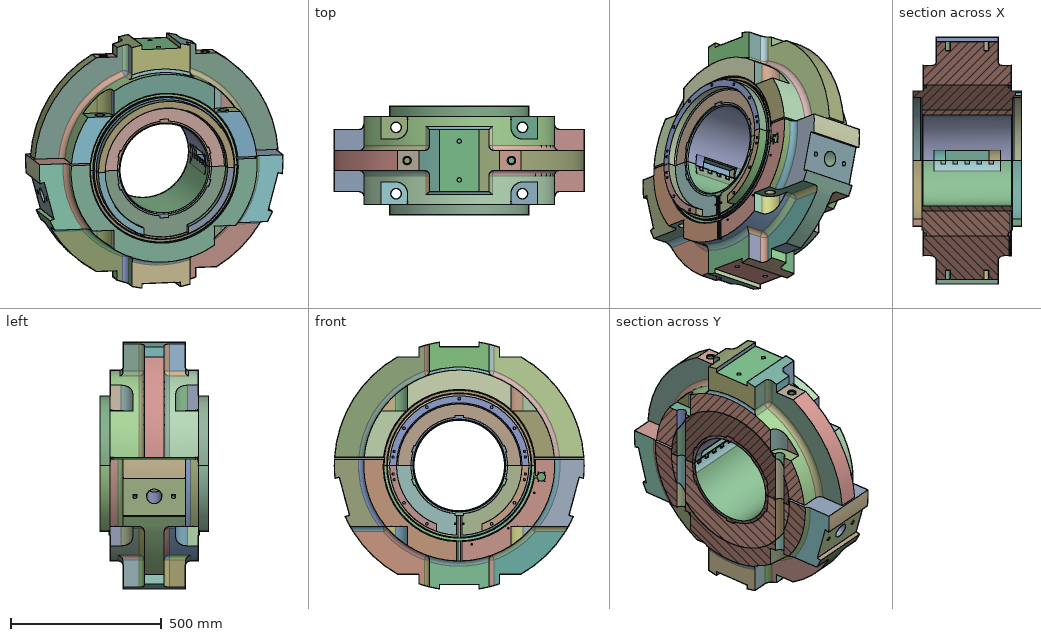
import cadquery as cq
import math

outer_radius = 414.5
hub_radius = 316.5
hub_half_width = 146.5
web_half_width = 33.0
lug_half_width = 103.0
root_fillet = 17.5
upper_lug_fillet = 10.0
upper_joint_z = 27.0
lower_joint_z = 21.0

lug_half_length = 98.5
shoulder_half_length = 134.0
shoulder_height = 360.5
side_lug_bottom = -202.0
side_lug_tilt = 15.0
slot_width = 130.0
slot_floor = 394.5
slot_screw_diameter = 14.0
slot_screw_depth = 30.0
slot_screw_offset = 64.0
inlet_diameter = 50.0
lifting_hole_x = 173.0
lifting_hole_diameter = 21.0
lifting_hole_depth = 50.0
lifting_counterbore_diameter = 28.0
lifting_counterbore_depth = 4.0

bolt_x = 209.5
bolt_y = 110.0
bolt_diameter = 34.0
pocket_inner_x = 171.0
pocket_inner_y = 71.0
pocket_corner_radius = 40.0
upper_pocket_floor = 181.5

bore_radius = 250.0
edge_chamfer = 2.5
shell_half_width = 150.5
flange_radius = 240.5
flange_thickness = 10.0
lining_radius = 160.0
shaft_radius = 150.0
lining_chamfer = 4.0
anchor_width = 28.8
anchor_reach = 166.0
side_anchor_width = 22.0
side_anchor_reach = 164.0
side_anchor_tilt = 20.0
rim_half_width = 180.0
rim_outer_radius = 231.0
rim_inner_radius = 208.0
rim_opening_half_length = 76.0
upper_cone_height = 4.0

rim_hole_circle = 221.0
rim_screw_diameter = 8.5
rim_screw_depth = 20.0
rim_dowel_diameter = 6.8
upper_screw_angles = (34.0, 61.0, 90.0, 119.0, 146.0)
lower_screw_angles = (214.0, 241.0, 299.0, 326.0)
rim_dowel_tilts = (7.3, 12.3)

oil_pocket_depth = 6.0
oil_pocket_half_height = 34.0
oil_pocket_half_width = 110.0
oil_slot_depth = 25.0
oil_slot_half_width = 72.0
oil_notch_width = 15.0
oil_notch_height = 12.0
oil_notch_depth = 3.0
oil_notch_pitch = 40.0

wire_groove_width = 17.5
wire_groove_depth = 4.0
wire_slit_width = 7.5
wire_slit_depth = 8.0
clamp_hole_diameter = 4.8
clamp_hole_x = 14.0
clamp_hole_z = -193.5
clamp_hole_depth = 12.0
sensor_x = 272.0
sensor_z = -37.5
sensor_diameter = 28.0
sensor_depth = 20.0
sensor_screw_diameter = 3.0
sensor_screw_x = 10.0
sensor_screw_z = 14.7
sensor_slot_height = 7.5
sensor_slot_depth = 10.0
bore_relief = 2.5
face_hole_circle = 264.5
face_hole_diameter = 4.8
face_hole_angles = (-20.0, -52.0, -81.0)

reach = 2.0 * outer_radius


def disc(radius, y_start, y_end):
    """Cylinder about the bearing axis."""
    return cq.Workplane("XZ", origin=(0, y_start, 0)).circle(radius).extrude(y_start - y_end)


def block(x_range, y_range, z_range):
    """Box given by its limits along the three axes."""
    size = [high - low for low, high in (x_range, y_range, z_range)]
    corner = (x_range[0], y_range[0], z_range[0])
    return cq.Workplane("XY").box(*size, centered=False).translate(corner)


def turned(shape, angle):
    """Shape turned from +X towards +Z about the bearing axis."""
    return shape.rotate((0, 0, 0), (0, 1, 0), -angle)


def bore_along_y(diameter, x, z, face_y, depth):
    """Blind hole drilled from a front face towards +Y."""
    return cq.Workplane("XZ", origin=(x, face_y, z)).circle(diameter / 2).extrude(-depth)


def bore_along_z(diameter, x, y, top_z, depth):
    """Blind hole drilled downwards."""
    return cq.Workplane("XY", origin=(x, y, top_z)).circle(diameter / 2).extrude(-depth)


def polar(radius, angle):
    """X and Z of a point on a circle about the bearing axis."""
    return radius * math.cos(math.radians(angle)), radius * math.sin(math.radians(angle))


def above(z):
    return block((-reach, reach), (-reach, reach), (z, reach))


def below(z):
    return block((-reach, reach), (-reach, reach), (-reach, z))


def hub_and_web():
    """Hub with the round web, which has a flat on each side of the upright lugs."""
    web = disc(outer_radius, -web_half_width, web_half_width)
    for side in (-1, 1):
        for end in (-1, 1):
            x_range = sorted((side * shoulder_half_length, side * reach))
            z_range = sorted((end * shoulder_height, end * reach))
            web = web.cut(block(x_range, (-reach, reach), z_range))
    return disc(hub_radius, -hub_half_width, hub_half_width).union(web)


def lug(x_range, z_range):
    """Thick block bounded by the outer radius."""
    width = (-lug_half_width, lug_half_width)
    outline = disc(outer_radius, -lug_half_width, lug_half_width)
    return block(x_range, width, z_range).intersect(outline)


def edge_ends(edge):
    """Distance from the bearing axis and from the middle plane at both ends of an edge."""
    ends = (edge.startPoint(), edge.endPoint())
    return [math.hypot(p.x, p.z) for p in ends], [abs(p.y) for p in ends]


def fillet_roots(body, include_upright_face=True):
    """Round the inner corners between hub, web and lugs, if wanted also at the faces of the upright lug."""
    tolerance = 0.1
    roots = []
    for edge in body.edges().vals():
        radii, widths = edge_ends(edge)
        on_hub = all(abs(r - hub_radius) < tolerance for r in radii)
        on_web = all(abs(w - web_half_width) < tolerance for w in widths)
        on_lug_face = all(abs(w - lug_half_width) < tolerance for w in widths)
        at_upright_face = on_lug_face and abs(edge.Center().x) < lug_half_length
        if on_hub and max(widths) < lug_half_width + tolerance:
            if include_upright_face or not at_upright_face:
                roots.append(edge)
        elif on_web and min(radii) < hub_radius + tolerance:
            roots.append(edge)
    return body.newObject(roots).fillet(root_fillet)


def slotted(body, directions):
    """Cut the wide slots across the ends of the lugs, with two screw holes in each floor."""
    for angle in directions:
        slot = block((slot_floor, reach), (-reach, reach), (-slot_width / 2, slot_width / 2))
        body = body.cut(turned(slot, angle))
        for y in (-slot_screw_offset, slot_screw_offset):
            hole = cq.Workplane("YZ", origin=(slot_floor, y, 0)).circle(slot_screw_diameter / 2)
            body = body.cut(turned(hole.extrude(-slot_screw_depth), angle))
    return body


def bolt_pockets(z_range):
    """Four pockets in the hub for the joint bolts, each with one round inner corner."""
    y_range = (pocket_inner_y, reach)
    corner = block((pocket_inner_x, reach), y_range, z_range)
    corner = corner.edges("|Z and <X and <Y").fillet(pocket_corner_radius)
    pair = corner.union(corner.mirror("YZ"))
    return pair.union(pair.mirror("XZ"))


def bolt_holes():
    """Four clearance holes that run through both halves."""
    centres = [(x, y) for x in (-bolt_x, bolt_x) for y in (-bolt_y, bolt_y)]
    start = cq.Workplane("XY", origin=(0, 0, -outer_radius)).pushPoints(centres)
    return start.circle(bolt_diameter / 2).extrude(2 * outer_radius)


def housing_bore():
    """Bore with a chamfer at both ends."""
    bore = disc(bore_radius, -hub_half_width, hub_half_width)
    for side in (-1, 1):
        mouth = cq.Workplane("XZ", origin=(0, side * hub_half_width, 0)).circle(bore_radius + edge_chamfer)
        mouth = mouth.extrude(side * edge_chamfer, taper=45)
        bore = bore.union(mouth)
    return bore


def upper_lug_face_fillets(body):
    """Small fillets where the faces of the upright lug meet the hub, mitred with its side fillets."""
    size = upper_lug_fillet
    strips = None
    for side in (-1, 1):
        slab_y = sorted((side * (lug_half_width - size), side * lug_half_width))
        slab = block((-outer_radius, outer_radius), slab_y, (-outer_radius, -hub_radius / 2))
        flared_end = body.intersect(slab).translate((0, side * size, 0))
        ring = (
            cq.Workplane("XY")
            .moveTo(hub_radius - size, side * lug_half_width)
            .lineTo(hub_radius + size, side * lug_half_width)
            .radiusArc((hub_radius, side * (lug_half_width + size)), side * size)
            .lineTo(hub_radius - size, side * (lug_half_width + size))
            .close()
            .revolve(360, (0, 0, 0), (0, 1, 0))
        )
        strip = ring.intersect(flared_end)
        strips = strip if strips is None else strips.union(strip)
    return strips


def make_upper_housing():
    body = hub_and_web()
    body = body.union(lug((-lug_half_length, lug_half_length), (-reach, 0)))
    body = body.union(lug((-reach, reach), (-upper_joint_z / 4, upper_joint_z)))
    body = fillet_roots(body, include_upright_face=False)
    body = body.union(upper_lug_face_fillets(body))
    body = turned(body, 180).intersect(above(upper_joint_z))
    body = body.cut(bolt_pockets((upper_pocket_floor, reach)))
    body = slotted(body, [90])
    for x in (-lifting_hole_x, lifting_hole_x):
        body = body.cut(bore_along_z(lifting_hole_diameter, x, 0, shoulder_height, lifting_hole_depth))
        body = body.cut(
            bore_along_z(lifting_counterbore_diameter, x, 0, shoulder_height, lifting_counterbore_depth)
        )
    return body.cut(housing_bore()).cut(bolt_holes())


def make_lower_housing():
    body = hub_and_web()
    body = body.union(lug((-lug_half_length, lug_half_length), (-reach, 0)))
    body = body.union(lug((-reach, reach), (side_lug_bottom, 2 * upper_joint_z)))
    body = fillet_roots(body).intersect(below(lower_joint_z))
    body = body.cut(bolt_pockets((-reach, side_lug_bottom)))
    side_directions = (-side_lug_tilt, 180 + side_lug_tilt)
    body = slotted(body, (-90, *side_directions))
    for angle in side_directions:
        inlet = cq.Workplane("YZ").circle(inlet_diameter / 2).extrude(outer_radius)
        body = body.cut(turned(inlet, angle))
    body = body.cut(housing_bore())
    body = body.cut(block((-bore_radius, bore_radius), (-reach, reach), (0, reach)))
    body = body.cut(bolt_holes()).cut(wire_groove(hub_half_width))
    return body.cut(sensor_seat()).cut(face_holes())


def wire_groove(face_half_width):
    """Stepped groove straight down a front face from the lining to the rim of the hub."""
    groove = None
    for width, depth in ((wire_groove_width, wire_groove_depth), (wire_slit_width, wire_slit_depth)):
        y_range = (-reach, -face_half_width + depth)
        cut = block((-width / 2, width / 2), y_range, (-reach, -anchor_reach))
        groove = cut if groove is None else groove.union(cut)
    return groove


def sensor_seat():
    """Round seat with four screw holes, joined to the bore by a slot and a shallow relief along the bore."""
    face = -hub_half_width
    seat = bore_along_y(sensor_diameter, sensor_x, sensor_z, face, sensor_depth)
    slot_z = (sensor_z - sensor_slot_height / 2, sensor_z + sensor_slot_height / 2)
    slot_y = (face, face + sensor_slot_depth)
    seat = seat.union(block((0, sensor_x), slot_y, slot_z))
    seat = seat.union(block((0, bore_radius + bore_relief), slot_y, (slot_z[1], lower_joint_z)))
    for x in (sensor_x - sensor_screw_x, sensor_x + sensor_screw_x):
        for z in (sensor_z - sensor_screw_z, sensor_z + sensor_screw_z):
            seat = seat.union(bore_along_y(sensor_screw_diameter, x, z, face, sensor_slot_depth))
    return seat


def face_holes():
    """Clip holes around the front face of the lower housing."""
    holes = None
    for angle in face_hole_angles:
        x, z = polar(face_hole_circle, angle)
        hole = bore_along_y(face_hole_diameter, x, z, -hub_half_width, clamp_hole_depth)
        holes = hole if holes is None else holes.union(hole)
    return holes


def shell_ring():
    """Full ring with a thick middle, a thinner flange at each end and a raised rim on each flange."""
    middle = hub_half_width - flange_thickness
    ring = disc(bore_radius, -middle, middle)
    flange = disc(flange_radius, -hub_half_width, hub_half_width)
    ring = ring.union(flange.faces("<Y or >Y").edges().chamfer(edge_chamfer))
    ring = ring.union(disc(rim_outer_radius, -shell_half_width, shell_half_width))
    for side in (-1, 1):
        rim = disc(rim_outer_radius, side * shell_half_width, side * rim_half_width)
        ring = ring.union(rim.cut(disc(rim_inner_radius, side * shell_half_width, side * rim_half_width)))
    return ring.cut(anchored_lining_space()).cut(bolt_holes())


def anchored_lining_space():
    """Room for the lining: a cylinder with flat-topped ribs along it that hold the lining in the shell."""
    space = disc(lining_radius, -shell_half_width, shell_half_width)
    upright_ribs = [(angle, anchor_width, anchor_reach) for angle in (90, -90)]
    side_angles = [base + sign * side_anchor_tilt for base in (0, 180) for sign in (-1, 1)]
    side_ribs = [(angle, side_anchor_width, side_anchor_reach) for angle in side_angles]
    for angle, width, top in upright_ribs + side_ribs:
        rib = block((0, top), (-shell_half_width, shell_half_width), (-width / 2, width / 2))
        space = space.union(turned(rib, angle))
    return space


def rim_holes(screw_angles, dowel_angles):
    """Screw and dowel holes in the front rim."""
    holes = None
    for diameter, angles in ((rim_screw_diameter, screw_angles), (rim_dowel_diameter, dowel_angles)):
        for angle in angles:
            x, z = polar(rim_hole_circle, angle)
            hole = bore_along_y(diameter, x, z, -rim_half_width, rim_screw_depth)
            holes = hole if holes is None else holes.union(hole)
    return holes


def make_upper_shell():
    shell = shell_ring().intersect(above(0))
    cone_radius = rim_inner_radius - upper_cone_height
    for side in (-1, 1):
        collar = disc(rim_inner_radius, side * shell_half_width, side * (shell_half_width + upper_cone_height))
        cone = cq.Workplane("XZ", origin=(0, side * shell_half_width, 0)).circle(cone_radius)
        collar = collar.cut(cone.extrude(-side * upper_cone_height, taper=-45))
        shell = shell.union(collar.intersect(above(0)))
    dowel_angles = [a for tilt in rim_dowel_tilts for a in (tilt, 180 - tilt)]
    return shell.cut(rim_holes(upper_screw_angles, dowel_angles)).cut(upper_oil_pockets())


def make_lower_shell():
    shell = shell_ring().intersect(below(0))
    opening_x = (-rim_opening_half_length, rim_opening_half_length)
    for side in (-1, 1):
        opening_y = sorted((side * shell_half_width, side * reach))
        shell = shell.cut(block(opening_x, opening_y, (-reach, 0)))
    dowel_angles = [a for tilt in rim_dowel_tilts for a in (-tilt, 180 + tilt)]
    shell = shell.cut(rim_holes(lower_screw_angles, dowel_angles)).cut(wire_groove(shell_half_width))
    for x in (-clamp_hole_x, clamp_hole_x):
        shell = shell.cut(
            bore_along_y(clamp_hole_diameter, x, clamp_hole_z, -shell_half_width, clamp_hole_depth)
        )
    return shell


def lining_ring():
    """Full lining with its ribs, chamfered at both ends of the shaft bore."""
    ring = anchored_lining_space().cut(disc(shaft_radius, -shell_half_width, shell_half_width))
    for side in (-1, 1):
        mouth = cq.Workplane("XZ", origin=(0, side * shell_half_width, 0)).circle(shaft_radius + lining_chamfer)
        ring = ring.cut(mouth.extrude(side * lining_chamfer, taper=45))
    return ring


def on_both_sides(shape):
    return shape.union(shape.mirror("YZ"))


def oil_pocket():
    """Hollow in the shaft bore at the joint on both sides, deepest at the joint and running out at its ends."""
    end_x = math.sqrt(shaft_radius**2 - oil_pocket_half_height**2)
    hollow = (
        cq.Workplane("XZ", origin=(0, oil_pocket_half_width, 0))
        .moveTo(end_x, -oil_pocket_half_height)
        .threePointArc((shaft_radius + oil_pocket_depth, 0), (end_x, oil_pocket_half_height))
        .close()
        .extrude(2 * oil_pocket_half_width)
    )
    return on_both_sides(hollow)


def upper_oil_pockets():
    """Deeper recess above the joint, which leaves the lower half as a ledge."""
    x_range = (0, shaft_radius + oil_pocket_depth + oil_slot_depth)
    y_range = (-oil_slot_half_width, oil_slot_half_width)
    return on_both_sides(block(x_range, y_range, (0, oil_pocket_half_height)))


def oil_notches():
    """Row of small notches that run from the ledge into the pocket."""
    notches = None
    x_range = (0, shaft_radius + oil_pocket_depth + oil_notch_depth)
    for place in (-2, -1, 0, 1, 2):
        y = place * oil_notch_pitch
        y_range = (y - oil_notch_width / 2, y + oil_notch_width / 2)
        notch = block(x_range, y_range, (-oil_notch_height, 0))
        notches = notch if notches is None else notches.union(notch)
    return on_both_sides(notches)


def make_upper_lining():
    return lining_ring().intersect(above(0)).cut(oil_pocket()).cut(upper_oil_pockets())


def make_lower_lining():
    return lining_ring().intersect(below(0)).cut(oil_pocket()).cut(oil_notches())


upper_housing = make_upper_housing()
lower_housing = make_lower_housing()
upper_shell = make_upper_shell()
lower_shell = make_lower_shell()
upper_lining = make_upper_lining()
lower_lining = make_lower_lining()

result = cq.Compound.makeCompound(
    [
        upper_housing.val(),
        lower_housing.val(),
        upper_shell.val(),
        lower_shell.val(),
        upper_lining.val(),
        lower_lining.val(),
    ]
)